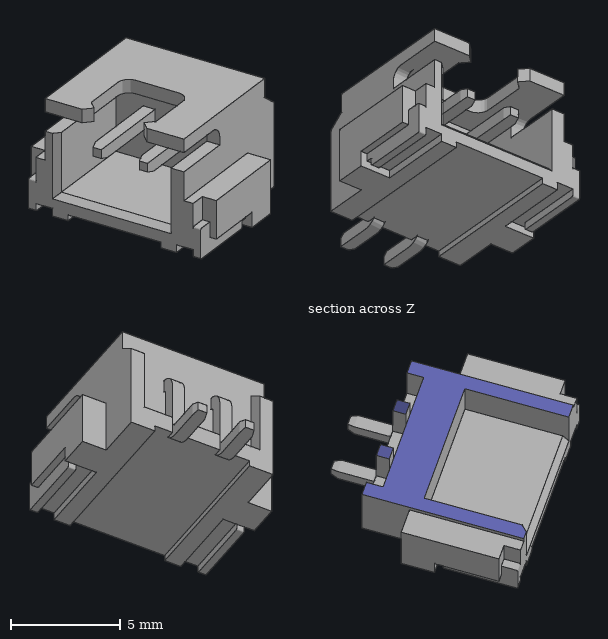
import cadquery as cq


overall_width = 10.0
overall_length = 10.0
height = 6.0
front_y = -overall_length / 2
tail_end_y = overall_length / 2

body_width = 7.5
body_depth = 7.8
back_y = front_y + body_depth
roof_depth = 7.0
roof_back_y = front_y + roof_depth
roof_thickness = 0.7
ear_slope_top_z = 5.0
ear_slope_bottom_z = 4.4

cavity_width = 6.1
cavity_depth = 5.0
floor_z = 1.2
lead_in = 0.3
cavity_top_z = height - roof_thickness
cavity_back_y = front_y + cavity_depth

window_depth = 3.1
window_sill_z = 4.3
corner_radius = 0.6

latch_width = 3.5
latch_depth = 3.7
lip_size = 0.4

channel_width = 5.0
channel_height = 0.3

wing_height = 2.8
wing_depth = 5.5
wing_back_y = front_y + wing_depth
wing_step = 0.8
step_y = front_y + wing_step
tab_thickness = 0.4
tab_inner_x = 4.25
tab_length = 3.9
tab_back_y = front_y + tab_length
tab_base_height = 0.8
tab_upright_height = 1.6
tab_round = 0.1
heel_length = 0.3
heel_height = tab_thickness
clearance_inner_x = 3.35

pin_pitch = 2.5
pin_count = 2
pin_size = 0.64
pin_axis_z = 3.65
pin_tip_setback = 0.5
pin_tip_y = front_y + pin_tip_setback
bend_inner_radius = 0.25
bend_outer_radius = bend_inner_radius + pin_size
front_taper = 0.38
tail_taper = 0.35
tip_size = 0.45


def box(x_range, y_range, z_range):
    """Axis-aligned block between two limits along each axis."""
    (x0, x1), (y0, y1), (z0, z1) = x_range, y_range, z_range
    return cq.Workplane("XY").box(x1 - x0, y1 - y0, z1 - z0, centered=False).translate((x0, y0, z0))


def centred(width):
    """Limits of a span of the given width, symmetric about zero."""
    return (-width / 2, width / 2)


def side_profile(points, x_start, x_length):
    """Closed (Y, Z) outline extruded along +X from x_start."""
    return cq.Workplane("YZ").workplane(offset=x_start).polyline(points).close().extrude(x_length)


def both_sides(shape):
    """The shape together with its mirror image across the X = 0 plane."""
    return shape.union(shape.mirror("YZ"))


def shell():
    """Main block with sloped ears at the back and a bay for the pins between the ears."""
    outline = [
        (front_y, 0),
        (back_y, 0),
        (back_y, ear_slope_bottom_z),
        (roof_back_y, ear_slope_top_z),
        (roof_back_y, height),
        (front_y, height),
    ]
    block = side_profile(outline, -body_width / 2, body_width)
    pin_bay = box(centred(cavity_width), (roof_back_y, back_y), (floor_z, height))
    return block.cut(pin_bay)


def wings():
    """Low block on each side of the body, its outer part set back from the front."""
    inner = box((body_width / 2, tab_inner_x), (front_y, wing_back_y), (0, wing_height))
    outer = box((tab_inner_x, overall_width / 2), (step_y, wing_back_y), (0, wing_height))
    return both_sides(inner.union(outer))


def cavity():
    """Mating cavity with a lead-in bevel on the floor and on the -X wall."""
    room = box(centred(cavity_width), (front_y, cavity_back_y), (floor_z, cavity_top_z))
    half = cavity_width / 2
    floor_bevel = side_profile(
        [(front_y, floor_z - lead_in), (front_y + lead_in, floor_z), (front_y, floor_z)],
        -half - lead_in,
        cavity_width + lead_in,
    )
    wall_bevel = (
        cq.Workplane("XY")
        .workplane(offset=floor_z - lead_in)
        .polyline([(-half - lead_in, front_y), (-half, front_y), (-half, front_y + lead_in)])
        .close()
        .extrude(window_sill_z - floor_z + lead_in)
    )
    corner = floor_bevel.intersect(wall_bevel)
    floor_strip = floor_bevel.intersect(box(centred(cavity_width), (front_y, 0), (0, height)))
    wall_strip = wall_bevel.intersect(box((-body_width, 0), (front_y, 0), (floor_z, height)))
    return room.union(floor_strip).union(wall_strip).union(corner)


def side_windows():
    """Slot across both side walls with a rounded upper rear corner."""
    window_back_y = front_y + window_depth
    window = box(centred(body_width), (front_y, window_back_y), (window_sill_z, cavity_top_z))
    return window.edges(">Y and >Z").fillet(corner_radius)


def latch_opening():
    """Roof cut-out with rounded rear corners and a pointed lip on each side near the front."""
    half = latch_width / 2
    lip_back_y = front_y + 2 * lip_size
    right_edge = [(half, front_y), (half - lip_size, front_y + lip_size), (half, lip_back_y)]
    left_edge = [(-x, y) for x, y in reversed(right_edge)]
    back_edge = [(half, front_y + latch_depth), (-half, front_y + latch_depth)]
    opening = (
        cq.Workplane("XY")
        .workplane(offset=cavity_top_z)
        .polyline(right_edge + back_edge + left_edge)
        .close()
        .extrude(roof_thickness)
    )
    return opening.edges("|Z and >Y").fillet(corner_radius)


def underside_channel():
    """Shallow channel along the full depth of the underside."""
    return box(centred(channel_width), (front_y, back_y), (0, channel_height))


def tab_recesses():
    """Pockets under the wings that hold the tabs, with a low clearance inboard of each tab."""
    slot = box((tab_inner_x, overall_width / 2), (front_y, tab_back_y), (0, tab_base_height))
    clearance = box((clearance_inner_x, tab_inner_x), (front_y, tab_back_y), (0, heel_height))
    return both_sides(slot.union(clearance))


def hold_down_tabs():
    """L-shaped plate on each side: a low base with an upright at the front, relieved at the heel."""
    heel_y = tab_back_y - heel_length
    outline = [
        (front_y, 0),
        (heel_y, 0),
        (heel_y, heel_height),
        (tab_back_y, heel_height),
        (tab_back_y, tab_base_height),
        (step_y, tab_base_height),
        (step_y, tab_upright_height),
        (front_y, tab_upright_height),
    ]
    plate = side_profile(outline, tab_inner_x, tab_thickness)
    plate = plate.edges("|X and <Y").fillet(tab_round)
    heel_corner = cq.selectors.NearestToPointSelector((tab_inner_x + tab_thickness / 2, heel_y, 0))
    plate = plate.edges(heel_corner).fillet(tab_round)
    return both_sides(plate)


def tapered_tip(x, y, z, direction, length):
    """Four-sided taper from the full pin section down to the tip, along +Y or -Y."""
    return (
        cq.Workplane("XZ", origin=(x, y, z))
        .rect(pin_size, pin_size)
        .workplane(offset=-direction * length)
        .rect(tip_size, tip_size)
        .loft(ruled=True)
    )


def make_pin(x):
    """Square pin: straight contact, drop behind the housing wall, then a solder tail along +Y."""
    top_z = pin_axis_z + pin_size / 2
    contact_y = pin_tip_y + front_taper
    tail_y = tail_end_y - tail_taper
    drop_front_y = back_y - pin_size
    bar = side_profile(
        [
            (contact_y, top_z - pin_size),
            (drop_front_y, top_z - pin_size),
            (drop_front_y, 0),
            (tail_y, 0),
            (tail_y, pin_size),
            (back_y, pin_size),
            (back_y, top_z),
            (contact_y, top_z),
        ],
        x - pin_size / 2,
        pin_size,
    )
    bends = [
        (drop_front_y, top_z - pin_size, bend_inner_radius),
        (back_y, pin_size, bend_inner_radius),
        (drop_front_y, 0, bend_outer_radius),
        (back_y, top_z, bend_outer_radius),
    ]
    for y, z, radius in bends:
        bar = bar.edges(cq.selectors.NearestToPointSelector((x, y, z))).fillet(radius)
    contact_tip = tapered_tip(x, contact_y, pin_axis_z, -1, front_taper)
    tail_tip = tapered_tip(x, tail_y, pin_size / 2, 1, tail_taper)
    return bar.union(contact_tip).union(tail_tip)


def make_housing(pins):
    """Housing with its openings, pin passages fitted to the pins, and the tabs."""
    housing = shell().union(wings())
    for opening in (cavity(), side_windows(), latch_opening(), underside_channel(), tab_recesses()):
        housing = housing.cut(opening)
    for pin in pins:
        housing = housing.cut(pin)
    return housing.union(hold_down_tabs(), clean=False)


pins = [make_pin((i - (pin_count - 1) / 2) * pin_pitch) for i in range(pin_count)]
housing = make_housing(pins)

result = cq.Compound.makeCompound([housing.val(), *[pin.val() for pin in pins]])